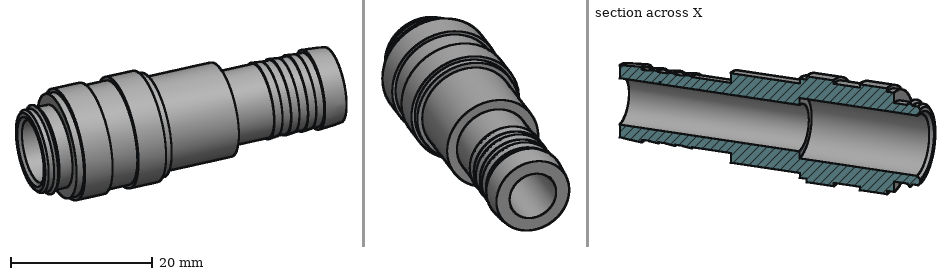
import cadquery as cq

LENGTH = 46.0

NECK_RADIUS = 6.03
NECK_CHAMFER = 0.35
BEAD_RADIUS = 6.5
BEAD_CENTRE = 1.6
BEAD_HALF_WIDTH = 0.4

BODY_RADIUS = 7.6
BODY_START = 4.0
BODY_END = 18.5
RING_RADIUS = 8.1
RING_WIDTH = 4.2
RING_STARTS = (5.1, 13.25)

SLEEVE_RADIUS = 6.85
SLEEVE_END = 29.03
TAIL_RADIUS = 5.4

BARB_COUNT = 3
BARB_START = 34.95
BARB_PITCH = 2.58
BARB_WIDTH = 1.3
BARB_ROOT_RADIUS = 5.55
BARB_TIP_RADIUS = 5.45

END_BARB_START = 42.6
END_BARB_ROOT_RADIUS = 5.8
END_BARB_MIDDLE_RADIUS = 5.7
END_BARB_TIP_RADIUS = 5.47

SOCKET_RADIUS = 4.55
SOCKET_DEPTH = BODY_END
SOCKET_CHAMFER = 0.5
THROUGH_RADIUS = 3.5


def cylinder(radius, start, end):
    """Solid cylinder along Y between two stations."""
    return cq.Workplane("XZ", origin=(0, start, 0)).circle(radius).extrude(start - end)


def revolve_profile(profile):
    """Turn a closed (radius, Y) profile about the Y axis."""
    return profile.close().revolve(360, (0, 0, 0), (0, 1, 0))


def frustum(start_radius, end_radius, start, end):
    """Solid cone frustum along Y."""
    points = [(0, start), (start_radius, start), (end_radius, end), (0, end)]
    return revolve_profile(cq.Workplane("XY").polyline(points))


def snap_bead():
    points = [
        (0, BEAD_CENTRE - BEAD_HALF_WIDTH),
        (NECK_RADIUS, BEAD_CENTRE - BEAD_HALF_WIDTH),
        (BEAD_RADIUS, BEAD_CENTRE),
        (NECK_RADIUS, BEAD_CENTRE + BEAD_HALF_WIDTH),
        (0, BEAD_CENTRE + BEAD_HALF_WIDTH),
    ]
    return revolve_profile(cq.Workplane("XY").polyline(points))


def coupling_neck():
    neck = cylinder(NECK_RADIUS, 0, BODY_START).faces("<Y").chamfer(NECK_CHAMFER)
    return neck.union(snap_bead())


def body():
    barrel = cylinder(BODY_RADIUS, BODY_START, BODY_END)
    for start in RING_STARTS:
        barrel = barrel.union(cylinder(RING_RADIUS, start, start + RING_WIDTH))
    return barrel


def end_barb():
    middle = (END_BARB_START + LENGTH) / 2
    profile = (
        cq.Workplane("XY")
        .moveTo(0, END_BARB_START)
        .lineTo(END_BARB_ROOT_RADIUS, END_BARB_START)
        .threePointArc((END_BARB_MIDDLE_RADIUS, middle), (END_BARB_TIP_RADIUS, LENGTH))
        .lineTo(0, LENGTH)
    )
    return revolve_profile(profile)


def hose_tail():
    tail = cylinder(TAIL_RADIUS, SLEEVE_END, END_BARB_START)
    for index in range(BARB_COUNT):
        start = BARB_START + index * BARB_PITCH
        tail = tail.union(frustum(BARB_ROOT_RADIUS, BARB_TIP_RADIUS, start, start + BARB_WIDTH))
    return tail.union(end_barb())


def bores():
    mouth = frustum(SOCKET_RADIUS + SOCKET_CHAMFER, SOCKET_RADIUS, 0, SOCKET_CHAMFER)
    socket = cylinder(SOCKET_RADIUS, 0, SOCKET_DEPTH)
    return cylinder(THROUGH_RADIUS, 0, LENGTH).union(socket).union(mouth)


sleeve = cylinder(SLEEVE_RADIUS, BODY_END, SLEEVE_END)
result = coupling_neck().union(body()).union(sleeve).union(hose_tail()).cut(bores())